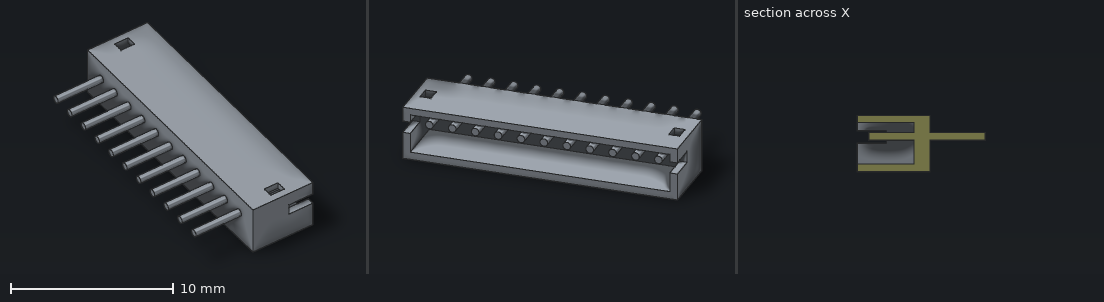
import cadquery as cq

LENGTH = 18.0
DEPTH = 4.5
HEIGHT = 3.5

PIN_COUNT = 11
PIN_PITCH = LENGTH / 12
PIN_DIAMETER = 0.5
PIN_HEIGHT = 2.2
PIN_PROJECTION = 3.4
PIN_TIP_RECESS = 0.7

END_WALL = 0.5
FLOOR = 0.5
ROOF = 0.45
CAVITY_DEPTH = 3.5

SLOT_BOTTOM = 1.78
SLOT_TOP = 2.54
SLOT_DEPTH = 1.8

WINDOW_WIDTH = 0.7
WINDOW_LENGTH = 1.0
WINDOW_SETBACK = SLOT_DEPTH


def box(x_range, y_range, z_range):
    """Axis-aligned box between the given limits."""
    (x0, x1), (y0, y1), (z0, z1) = x_range, y_range, z_range
    return cq.Workplane("XY").box(x1 - x0, y1 - y0, z1 - z0, centered=False).translate((x0, y0, z0))


def make_housing():
    half = LENGTH / 2
    cavity_half = half - END_WALL
    body = box((-half, half), (0, DEPTH), (0, HEIGHT))
    cavity = box(
        (-cavity_half, cavity_half), (DEPTH - CAVITY_DEPTH, DEPTH), (FLOOR, HEIGHT - ROOF)
    )
    end_slots = box((-half, half), (DEPTH - SLOT_DEPTH, DEPTH), (SLOT_BOTTOM, SLOT_TOP))
    window_end = DEPTH - WINDOW_SETBACK
    window_y = (window_end - WINDOW_LENGTH, window_end)
    window_z = (HEIGHT - ROOF, HEIGHT)
    left_window = box((-cavity_half, -cavity_half + WINDOW_WIDTH), window_y, window_z)
    right_window = left_window.mirror("YZ")
    return body.cut(cavity).cut(end_slots).cut(left_window).cut(right_window)


def make_pins():
    centers = [((i - (PIN_COUNT - 1) / 2) * PIN_PITCH, PIN_HEIGHT) for i in range(PIN_COUNT)]
    pin_length = PIN_PROJECTION + DEPTH - PIN_TIP_RECESS
    return (
        cq.Workplane("XZ", origin=(0, -PIN_PROJECTION, 0))
        .pushPoints(centers)
        .circle(PIN_DIAMETER / 2)
        .extrude(-pin_length)
    )


result = make_housing().union(make_pins())